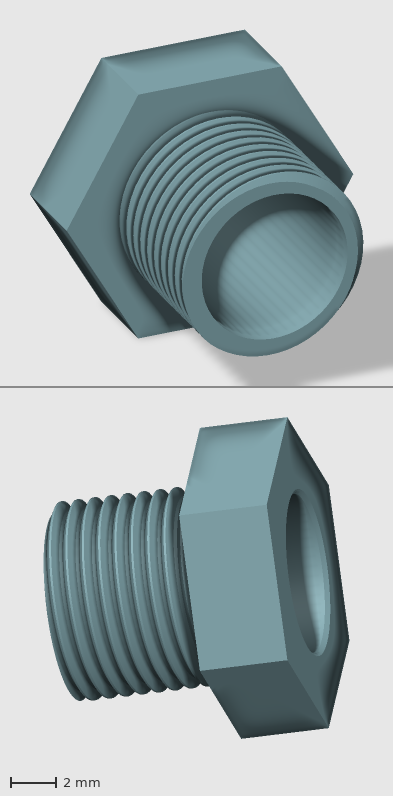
import cadquery as cq
import math

across_corners = 13.86
head_length = 4.0
overall_length = 11.0
bore_diameter = 7.05
bore_chamfer = 0.2

crest_diameter = 8.91
root_diameter = 8.05
pitch = 0.75
crest_flat = pitch / 8
flank_angle = 30.0
crest_to_end = 0.24
root_overlap = 0.05
turns = 12
end_excess = 2.77
turns_before_last_crest = 10.5

shank_length = overall_length - head_length


def make_head():
    return cq.Workplane("YZ").polygon(6, across_corners).extrude(head_length)


def make_ridge():
    """Helical thread ridge, running past both ends of the shank."""
    helix_start = overall_length - crest_to_end - turns_before_last_crest * pitch
    crest_radius = crest_diameter / 2
    base_radius = root_diameter / 2 - root_overlap
    crest_half = crest_flat / 2
    base_half = crest_half + (crest_radius - base_radius) * math.tan(math.radians(flank_angle))

    helix = cq.Wire.makeHelix(pitch, turns * pitch, root_diameter / 2)
    ridge = (
        cq.Workplane("XZ")
        .moveTo(base_radius, -base_half)
        .lineTo(crest_radius, -crest_half)
        .lineTo(crest_radius, crest_half)
        .lineTo(base_radius, base_half)
        .close()
        .sweep(cq.Workplane(obj=helix), isFrenet=True)
    )
    return ridge.rotate((0, 0, 0), (0, 1, 0), 90).translate((helix_start, 0, 0))


def make_shank():
    """Threaded shank: core and ridge joined at full length, then trimmed square."""
    core = cq.Workplane("YZ").circle(root_diameter / 2).extrude(overall_length + end_excess)
    shank_space = (
        cq.Workplane("YZ")
        .workplane(offset=head_length)
        .circle(crest_diameter)
        .extrude(shank_length)
    )
    return core.union(make_ridge()).intersect(shank_space)


def make_bore():
    """Through bore with a 45 degree chamfer at the head face."""
    bore_radius = bore_diameter / 2
    return (
        cq.Workplane("XY")
        .lineTo(0, bore_radius + bore_chamfer)
        .lineTo(bore_chamfer, bore_radius)
        .lineTo(overall_length, bore_radius)
        .lineTo(overall_length, 0)
        .close()
        .revolve(360, (0, 0, 0), (1, 0, 0))
    )


result = make_head().union(make_shank()).cut(make_bore())